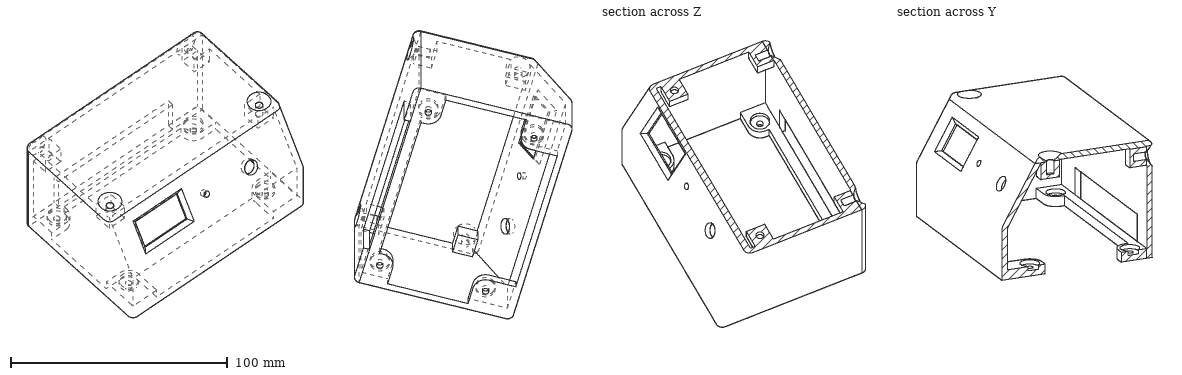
import cadquery as cq
import math

length_x = 76.2
width_y = 106.0
height_z = 58.0
wall = 3.0
edge_radius = wall
slope_angle = 60.0
slope_start_x = 57.9

display_width = 29.6
display_height = 18.0
display_y = 27.0
display_drop = 18.3
bevel = 2.0
button_diameter = 7.2
button_y = 79.5
button_drop = 20.6
lamp_diameter = 3.0
lamp_y = width_y / 2
lamp_drop = 19.2

window_width = 69.7
window_height = 18.2
bar_size = 5.0

screw_inset = 7.5
top_screw_x = 51.7
screw_diameter = 3.5
countersink_diameter = 11.0
countersink_depth = 2.8
screw_post_size = 9.5
screw_post_length = 8.5
pilot_depth = 6.4

boss_radius = 6.0
boss_inset_y = 11.3
back_boss_x = 9.8
front_boss_x = 60.4
mount_diameter = 3.0
counterbore_diameter = 9.0
counterbore_depth = 2.0

slope_cos = math.cos(math.radians(slope_angle))
slope_sin = math.sin(math.radians(slope_angle))
slope_end_z = height_z - (length_x - slope_start_x) * slope_sin / slope_cos
top_underside_z = height_z - wall
back_screw_z = height_z - screw_inset
screw_ys = (screw_inset, width_y - screw_inset)
boss_ys = (boss_inset_y, width_y - boss_inset_y)


def box(x_range, y_range, z_range):
    """Block between the given limits."""
    size = [high - low for low, high in (x_range, y_range, z_range)]
    return cq.Workplane("XY").box(*size, centered=False).translate((x_range[0], y_range[0], z_range[0]))


def side_profile(bottom_z):
    """Outline of the enclosure in the XZ plane, closed at bottom_z."""
    return cq.Workplane("XZ").polyline([
        (0, bottom_z),
        (0, height_z),
        (slope_start_x, height_z),
        (length_x, slope_end_z),
        (length_x, bottom_z),
    ]).close()


def outer_block():
    """Solid envelope, rounded on every edge except the bottom ones."""
    block = side_profile(0).extrude(-width_y)
    return block.edges("not(<Z)").fillet(edge_radius)


def cavity():
    """Inside space, one wall thickness in from the outline and open at the bottom."""
    inside = side_profile(-2 * wall).offset2D(-wall).extrude(-(width_y - 2 * wall))
    return inside.translate((0, wall, 0))


def panel_plane(y, drop):
    """Plane on the sloped panel with its normal outward, local X along Y and local Y up the slope."""
    origin = (slope_start_x + drop * slope_cos, y, height_z - drop * slope_sin)
    return cq.Workplane(cq.Plane(origin, xDir=(0, 1, 0), normal=(slope_sin, 0, slope_cos)))


def panel_hole(y, drop, diameter):
    """Round cutter through the sloped panel."""
    return panel_plane(y, drop).circle(diameter / 2).extrude(2 * wall, both=True)


def display_opening():
    """Rectangular cutter through the sloped panel with a bevelled outer rim."""
    inner_width = display_width - 2 * bevel
    inner_height = display_height - 2 * bevel
    plane = panel_plane(display_y, display_drop)
    through = plane.rect(inner_width, inner_height).extrude(-2 * wall)
    rim = (
        plane.rect(display_width, display_height)
        .workplane(offset=-bevel)
        .rect(inner_width, inner_height)
        .loft(ruled=True)
    )
    return through.union(rim)


def side_wall_span(y, reach):
    """Y range from inside the nearest side wall to the given reach beyond y."""
    if y < width_y / 2:
        return (wall / 2, y + reach)
    return (y - reach, width_y - wall / 2)


def floor_boss(x, y, wall_x):
    """Round-cornered pad that joins the boss at (x, y) to the end wall at wall_x and to the side wall."""
    side_y = side_wall_span(y, boss_radius)
    inner_x = x + math.copysign(boss_radius, x - wall_x)
    outer_y = side_y[0] if y < width_y / 2 else side_y[1]
    boss = cq.Workplane("XY").center(x, y).circle(boss_radius).extrude(bar_size)
    to_end = box(sorted((wall_x, x)), side_y, (0, bar_size))
    to_side = box(sorted((x, inner_x)), sorted((y, outer_y)), (0, bar_size))
    return boss.union(to_end).union(to_side)


def mounting_hole(x, y):
    """Through hole with a counterbore sunk from the top of a floor boss."""
    hole = cq.Workplane("XY").center(x, y).circle(mount_diameter / 2).extrude(bar_size)
    counterbore = cq.Workplane("XY", origin=(x, y, bar_size)).circle(counterbore_diameter / 2)
    return hole.union(counterbore.extrude(-counterbore_depth))


def screw_cutter(point, direction):
    """Countersunk screw hole that starts at an outer face and ends in a screw post."""
    start = cq.Vector(*point)
    inward = cq.Vector(*direction)
    hole = cq.Solid.makeCylinder(screw_diameter / 2, wall + pilot_depth, start, inward)
    cone = cq.Solid.makeCone(
        countersink_diameter / 2, screw_diameter / 2, countersink_depth, start, inward
    )
    return cq.Workplane(hole.fuse(cone))


def screw_posts():
    """Blocks on the side walls that the cover screws go into."""
    half = screw_post_size / 2
    posts = cq.Workplane("XY")
    for y in screw_ys:
        post_y = side_wall_span(y, half)
        posts = posts.add(box(
            (top_screw_x - half, top_screw_x + half),
            post_y,
            (top_underside_z - screw_post_length, top_underside_z),
        ))
        posts = posts.add(box(
            (wall, wall + screw_post_length),
            post_y,
            (back_screw_z - half, top_underside_z),
        ))
    return posts.combine()


screw_cutters = []
for screw_y in screw_ys:
    screw_cutters.append(screw_cutter((top_screw_x, screw_y, height_z), (0, 0, -1)))
    screw_cutters.append(screw_cutter((0, screw_y, back_screw_z), (1, 0, 0)))


def drill_screws(body):
    for cutter in screw_cutters:
        body = body.cut(cutter)
    return body


top_region = box((0, length_x), (0, width_y), (top_underside_z, height_z))
back_region = box((0, wall), (0, width_y), (0, top_underside_z))
shell = outer_block().cut(cavity())


def make_housing():
    """Front, sloped panel and sides, with the cross bar, floor bosses and screw posts."""
    bar = box((wall, wall + bar_size), (wall / 2, width_y - wall / 2), (0, bar_size))
    body = shell.union(bar).union(screw_posts())
    for y in boss_ys:
        body = body.union(floor_boss(back_boss_x, y, wall))
        body = body.union(floor_boss(front_boss_x, y, length_x - wall / 2))
    for y in boss_ys:
        for x in (back_boss_x, front_boss_x):
            body = body.cut(mounting_hole(x, y))
    body = body.cut(display_opening())
    body = body.cut(panel_hole(button_y, button_drop, button_diameter))
    body = body.cut(panel_hole(lamp_y, lamp_drop, lamp_diameter))
    return drill_screws(body.cut(top_region).cut(back_region))


def make_top_cover():
    """Flat plate that closes the top."""
    return drill_screws(shell.intersect(top_region))


def make_back_cover():
    """Flat plate that closes the back, with a window open at its bottom edge."""
    window_y = (width_y / 2 - window_width / 2, width_y / 2 + window_width / 2)
    window = box((0, wall), window_y, (0, window_height))
    return drill_screws(shell.intersect(back_region).cut(window))


housing = make_housing()
top_cover = make_top_cover()
back_cover = make_back_cover()

result = cq.Compound.makeCompound([housing.val(), top_cover.val(), back_cover.val()])